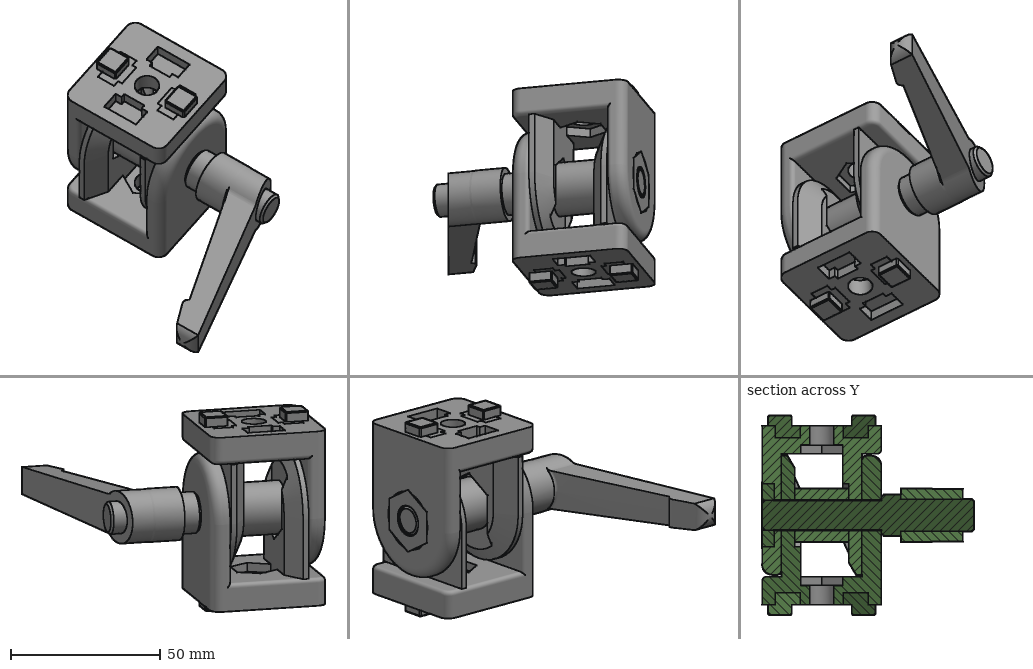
import cadquery as cq
import math


width = 40.0
half_width = width / 2
end_height = 30.0
swing_gap = 0.5
plate_inner = half_width + swing_gap
corner_radius = 3.5
window_fillet = 1.5
tolerance = 0.01
leg_thickness = 6.5
leg_split = half_width - leg_thickness
inner_leg_face = leg_split - leg_thickness
inner_leg_rim = 2.0
hub_face_radius = 12.5

center_hole_diameter = 8.2
screw_head_across_flats = 14.0
screw_head_depth = 3.0
slot_depth = 4.0
slot_inner = 7.3
slot_step = 8.9
slot_outer = 15.5
slot_wide = 13.0
slot_narrow = 8.2

key_size = 8.0
key_inner = 10.0
key_height = 3.4
key_edge = 0.4

stud_diameter = 10.0
stud_tip_diameter = 8.38
clearance_diameter = 10.5
spacer_diameter = 18.0
seat_across_flats = 19.0
seat_depth = 2.0
nut_across_flats = 19.0
nut_thickness = 4.0
nut_recess_diameter = 20.0
nut_bevel_diameter = 10.5

neck_diameter = 14.0
neck_chamfer = 0.8
button_diameter = 11.0
button_chamfer = 0.8
button_end = 51.0

hub_diameter = 18.0
hub_start = 26.5
hub_step_start = 36.6
hub_step_end = 37.3
hub_step_diameter = 17.8
root_fillet = 1.0
shoulder_fillet = 2.4
trim_allowance = 10.0
lever_outer_at_axis = 47.07
lever_outer_slope = 0.277
lever_inner_at_axis = 35.44
lever_inner_slope = 0.349
ridge_at_axis = 0.8
ridge_at_notch = 0.02
notch_reach = 49.7
grip_step = (51.75, 50.7)
grip_bulge = (51.6, 51.5)
grip_heel = (51.75, 52.4)
grip_corner = (55.0, 60.0)
dome_start = 60.0
dome_end = 63.0
half_height_at_axis = 7.0
half_height_at_dome = 4.7


def x_cylinder(diameter, start, end):
    return cq.Workplane("YZ", origin=(start, 0, 0)).circle(diameter / 2).extrude(end - start)


def corner_diameter(across_flats):
    """Diameter over the corners of a hexagon."""
    return across_flats / math.cos(math.pi / 6)


def slot_outline():
    """Stepped slot on the +X side of the plate, narrow towards the centre."""
    return (
        cq.Workplane("XY", origin=(0, 0, end_height))
        .polyline([
            (slot_inner, -slot_narrow / 2),
            (slot_step, -slot_narrow / 2),
            (slot_step, -slot_wide / 2),
            (slot_outer, -slot_wide / 2),
            (slot_outer, slot_wide / 2),
            (slot_step, slot_wide / 2),
            (slot_step, slot_narrow / 2),
            (slot_inner, slot_narrow / 2),
        ])
        .close()
        .extrude(-slot_depth)
    )


def outer_leg():
    leg = (
        cq.Workplane("YZ", origin=(-half_width, 0, 0))
        .moveTo(-half_width, end_height)
        .lineTo(-half_width, 0)
        .threePointArc((0, -half_width), (half_width, 0))
        .lineTo(half_width, end_height)
        .close()
        .extrude(leg_thickness)
    )
    return leg.faces("<X").edges("not >Z").fillet(corner_radius)


def end_plate():
    plate = (
        cq.Workplane("XY", origin=(0, 0, plate_inner))
        .rect(width, width)
        .extrude(end_height - plate_inner)
    )
    return plate.edges("|Z").fillet(corner_radius)


def spacer_seat():
    """Recess in the inner leg: half a hexagon above the pivot, running out through the leg end below."""
    half_seat = seat_across_flats / 2
    corner_height = half_seat * math.tan(math.pi / 6)
    return (
        cq.Workplane("YZ", origin=(inner_leg_face, 0, 0))
        .polyline([
            (-half_seat, -width),
            (-half_seat, corner_height),
            (0, corner_diameter(seat_across_flats) / 2),
            (half_seat, corner_height),
            (half_seat, -width),
        ])
        .close()
        .extrude(seat_depth)
    )


def inner_leg():
    rim_start = leg_split - inner_leg_rim
    straight = (
        cq.Workplane("XY")
        .polyline([
            (leg_split, -half_width),
            (rim_start, -half_width),
            (inner_leg_face, -hub_face_radius),
            (inner_leg_face, hub_face_radius),
            (rim_start, half_width),
            (leg_split, half_width),
        ])
        .close()
        .extrude(plate_inner)
    )
    rounded_end = (
        cq.Workplane("XY")
        .polyline([
            (inner_leg_face, 0),
            (inner_leg_face, hub_face_radius),
            (rim_start, half_width),
            (leg_split, half_width),
            (leg_split, 0),
        ])
        .close()
        .revolve(360, (0, 0, 0), (1, 0, 0))
    )
    return straight.union(rounded_end).cut(spacer_seat())


def bracket():
    body = end_plate().union(outer_leg())
    leg_and_plate_rims = cq.selectors.BoxSelector(
        (-leg_split - tolerance, -width, -width),
        (width, width, plate_inner + tolerance),
    )
    inside_corner = cq.selectors.NearestToPointSelector((-leg_split, 0, plate_inner))
    body = body.edges(leg_and_plate_rims - inside_corner).fillet(window_fillet)
    body = body.union(inner_leg())
    for turn in range(4):
        body = body.cut(slot_outline().rotate((0, 0, 0), (0, 0, 1), 90 * turn))
    hole = (
        cq.Workplane("XY", origin=(0, 0, plate_inner))
        .circle(center_hole_diameter / 2)
        .extrude(end_height - plate_inner)
    )
    head_recess = (
        cq.Workplane("XY", origin=(0, 0, plate_inner))
        .polygon(6, corner_diameter(screw_head_across_flats))
        .extrude(screw_head_depth)
        .rotate((0, 0, 0), (0, 0, 1), 30)
    )
    return body.cut(hole).cut(head_recess).cut(x_cylinder(clearance_diameter, -width, width))


def turned_half(body):
    return body.rotate((0, 0, 0), (0, 1, 0), 180)


def nut_blank():
    return (
        cq.Workplane("YZ", origin=(-half_width, 0, 0))
        .polygon(6, corner_diameter(nut_across_flats))
        .extrude(nut_thickness)
        .rotate((0, 0, 0), (1, 0, 0), 30)
    )


upper_bracket = (
    bracket()
    .cut(nut_blank())
    .cut(x_cylinder(nut_recess_diameter, -half_width, -half_width + nut_thickness))
)
lower_bracket = turned_half(bracket())


def locating_key():
    block = (
        cq.Workplane("XY", origin=(key_inner + key_size / 2, 0, end_height))
        .rect(key_size, key_size)
        .extrude(key_height)
        .edges("|Z or >Z")
        .chamfer(key_edge)
    )
    return slot_outline().union(block)


keys = []
for turn in (0, 180):
    key = locating_key().rotate((0, 0, 0), (0, 0, 1), turn)
    keys.append(key)
    keys.append(turned_half(key))


spacer_end = inner_leg_face + seat_depth
spacer = x_cylinder(spacer_diameter, -spacer_end, spacer_end).cut(
    x_cylinder(clearance_diameter, -spacer_end, spacer_end)
)

nut = (
    nut_blank()
    .cut(x_cylinder(stud_diameter, -half_width, half_width))
    .faces("<X").edges("%CIRCLE")
    .chamfer((nut_bevel_diameter - stud_diameter) / 2)
)

stud_shank = (
    x_cylinder(stud_diameter, -half_width, half_width)
    .faces("<X").chamfer((stud_diameter - stud_tip_diameter) / 2)
)
stud_neck = x_cylinder(neck_diameter, half_width, hub_start).faces("<X").chamfer(neck_chamfer)
stud_button = x_cylinder(button_diameter, hub_start, button_end).faces(">X").chamfer(button_chamfer)
stud = stud_shank.union(stud_neck).union(stud_button)


def lever_outer(reach):
    return lever_outer_at_axis + lever_outer_slope * reach


def lever_half_height(reach):
    return half_height_at_axis + (half_height_at_dome - half_height_at_axis) * reach / dome_start


def shank_section(reach, ridge):
    """Five-sided section of the arm; its inner side bulges to a ridge at mid height."""
    inner = lever_inner_at_axis + lever_inner_slope * reach
    outer = lever_outer(reach) + trim_allowance
    half_height = lever_half_height(reach)
    return cq.Wire.makePolygon([
        cq.Vector(outer, -reach, -half_height),
        cq.Vector(outer, -reach, half_height),
        cq.Vector(inner, -reach, half_height),
        cq.Vector(inner - ridge, -reach, 0),
        cq.Vector(inner, -reach, -half_height),
    ], close=True)


def lever_collar():
    """Thick part of the hub, with a short taper down to the part that carries the arm."""
    return (
        cq.Workplane("XY")
        .polyline([
            (hub_start, 0),
            (hub_start, hub_diameter / 2),
            (hub_step_start, hub_diameter / 2),
            (hub_step_end, hub_step_diameter / 2),
            (hub_step_end, 0),
        ])
        .close()
        .revolve(360, (0, 0, 0), (1, 0, 0))
    )


def outer_trim():
    """Everything on the pivot side of the lever's slanted outer face."""
    return (
        cq.Workplane("XY", origin=(0, 0, -hub_diameter))
        .polyline([
            (0, hub_diameter),
            (lever_outer(-hub_diameter), hub_diameter),
            (lever_outer(dome_end), -dome_end),
            (0, -dome_end),
        ])
        .close()
        .extrude(2 * hub_diameter)
    )


def lever_grip():
    notch_x = lever_inner_at_axis + lever_inner_slope * notch_reach
    dome_outer = lever_outer(dome_start)
    plan = (
        cq.Workplane("XY", origin=(0, 0, -hub_diameter))
        .moveTo(notch_x, -notch_reach)
        .lineTo(grip_step[0], -grip_step[1])
        .threePointArc((grip_bulge[0], -grip_bulge[1]), (grip_heel[0], -grip_heel[1]))
        .lineTo(grip_corner[0], -grip_corner[1])
        .threePointArc(((grip_corner[0] + dome_outer) / 2, -dome_end), (dome_outer, -dome_start))
        .lineTo(lever_outer(notch_reach), -notch_reach)
        .close()
        .extrude(2 * hub_diameter)
    )
    side = (
        cq.Workplane("YZ")
        .moveTo(-notch_reach, lever_half_height(notch_reach))
        .lineTo(-dome_start, half_height_at_dome)
        .threePointArc((-dome_end, 0), (-dome_start, -half_height_at_dome))
        .lineTo(-notch_reach, -lever_half_height(notch_reach))
        .close()
        .extrude(2 * lever_outer(dome_end))
    )
    return plan.intersect(side)


def hub_and_shank():
    hub = x_cylinder(hub_step_diameter, hub_start, lever_outer_at_axis + trim_allowance)
    sections = [shank_section(0, ridge_at_axis), shank_section(notch_reach, ridge_at_notch)]
    return hub.union(cq.Workplane(cq.Solid.makeLoft(sections, True)))


def hub_joint(x_start, x_end):
    """Selects hub-to-arm edges on the arm's side of the axis whose centres lie in an X range."""
    return cq.selectors.BoxSelector(
        (x_start, -hub_diameter / 2, -hub_diameter),
        (x_end, -hub_diameter / 4, hub_diameter),
    )


def shoulder_filleted(body):
    """Rounds the corners between the hub and the arm's upper and lower faces."""
    corners = hub_joint(hub_step_end + shoulder_fillet, lever_outer_at_axis + trim_allowance / 2)
    return body.edges(corners).fillet(shoulder_fillet)


def root_filleted(body):
    """Rounds the corner between the hub and the two facets of the arm's inner face."""
    corners = hub_joint(hub_step_end, hub_step_end + shoulder_fillet)
    return body.edges(corners).fillet(root_fillet)


plain_lever = hub_and_shank()
lever = shoulder_filleted(plain_lever).union(root_filleted(plain_lever)).union(lever_collar())
lever = (
    lever.intersect(outer_trim())
    .union(lever_grip())
    .cut(x_cylinder(button_diameter, hub_start, button_end))
)

bodies = [upper_bracket, lower_bracket, *keys, spacer, nut, stud, lever]
result = cq.Compound.makeCompound([body.solids().val() for body in bodies])